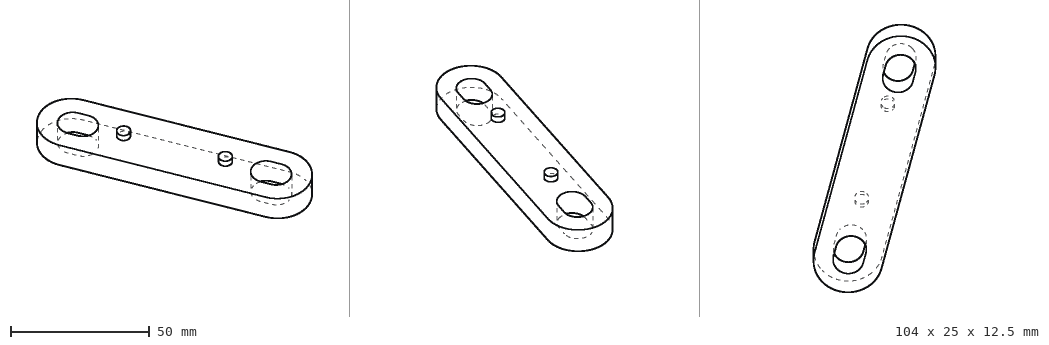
import cadquery as cq

LENGTH = 104.0
WIDTH = 25.0
TOTAL_HEIGHT = 12.5

PIN_HEIGHT = 2.5
PIN_DIAMETER = 5.0
PIN_SPACING = 39.0

SLOT_LENGTH = 15.0
SLOT_WIDTH = 11.0
SLOT_SPACING = 74.0

PLATE_THICKNESS = TOTAL_HEIGHT - PIN_HEIGHT


def mirrored_pair(spacing):
    """Two points on the X axis, placed symmetrically about the centre."""
    return [(-spacing / 2, 0), (spacing / 2, 0)]


def make_plate():
    """Flat bar with fully rounded ends, its bottom face on Z = 0."""
    return cq.Workplane("XY").slot2D(LENGTH, WIDTH).extrude(PLATE_THICKNESS)


def make_slots():
    """Cutters for the two slots that pass through the plate."""
    return (
        cq.Workplane("XY")
        .pushPoints(mirrored_pair(SLOT_SPACING))
        .slot2D(SLOT_LENGTH, SLOT_WIDTH)
        .extrude(PLATE_THICKNESS)
    )


def make_pins():
    """Two round pins, run through the plate so they fuse with it."""
    return (
        cq.Workplane("XY")
        .pushPoints(mirrored_pair(PIN_SPACING))
        .circle(PIN_DIAMETER / 2)
        .extrude(TOTAL_HEIGHT)
    )


result = make_plate().cut(make_slots()).union(make_pins())